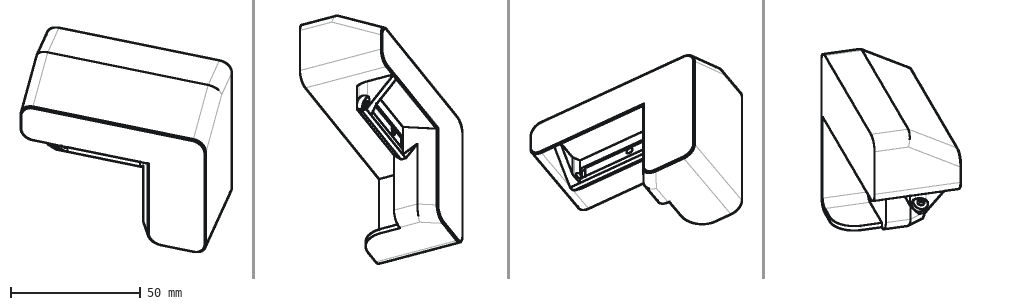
import cadquery as cq
import math

WIDTH = 75.0
DEPTH = 35.0
HEIGHT = 70.0
CORNER_R = 5.0
FRONT_CHAMFER = 0.45

BAR_BOTTOM = 41.0
SLOPE_DEPTH = 20.0
SLOPE_ANGLE = math.radians(30)
SLOPE_RISE = SLOPE_DEPTH * math.tan(SLOPE_ANGLE)

LEG_LEFT = 47.6
SLANT_DEPTH = 6.9
SLANT = math.radians(30)
LEG_FRONT_LEFT = LEG_LEFT + SLANT_DEPTH * math.tan(SLANT)
SOLID_DEPTH = 16.9
WALL = 2.0
FLOOR_LEFT = 53.1
FLOOR_CORNER_R = 9.75

BRACKET_LEFT = 11.0
BRACKET_BOTTOM = BAR_BOTTOM - 13.0
BRACKET_FACE = 11.8
BRACKET_CHAMFER = 3.0
END_CURVE_START = 11.2
END_LARGE_R = 11.7
END_SMALL_R = 3.0
END_BLEND = math.radians(20)

POCKET_LEFT = 15.6
POCKET_FACET_RIGHT = 14.4
POCKET_MOUTH_LEFT = 13.95
FACET_SLANT = math.radians(25)
POCKET_RIGHT = LEG_LEFT - (BRACKET_FACE - SLANT_DEPTH) * math.tan(SLANT)

BAND_BOTTOM = 30.5
BAND_TOP = 36.15
BAND_RECESS = 0.75
BAND_END_RECESS = 1.35
BAND_STEP = 17.1

SCREW_D = 2.7
SCREW_HEAD_D = 6.0
SCREW_X = 15.4
SCREW_Z = 32.0
SCREW_WEB = 2.55
PIN_D = 2.7
PIN_X = 37.65
PIN_Z = 34.5
SCREW_REACH = 15.0


def make_bar():
    """Bar with a sloped upper front and rounded ends."""
    bar = (
        cq.Workplane("YZ")
        .moveTo(0, BAR_BOTTOM)
        .lineTo(DEPTH, BAR_BOTTOM)
        .lineTo(DEPTH, HEIGHT)
        .lineTo(SLOPE_DEPTH, HEIGHT)
        .lineTo(0, HEIGHT - SLOPE_RISE)
        .close()
        .extrude(WIDTH)
    )
    upper_faces = bar.faces("+Z").add(bar.faces("not (|X or |Y or |Z)"))
    bar = upper_faces.edges("not |X").fillet(CORNER_R)
    return bar.edges("|Y and <Z and <X").fillet(CORNER_R)


def make_leg():
    """Solid leg with a slanted left front and rounded lower corners."""
    leg = (
        cq.Workplane("XY")
        .moveTo(LEG_FRONT_LEFT, 0)
        .lineTo(WIDTH, 0)
        .lineTo(WIDTH, DEPTH)
        .lineTo(LEG_LEFT, DEPTH)
        .lineTo(LEG_LEFT, SLANT_DEPTH)
        .close()
        .extrude(BAR_BOTTOM)
    )
    lower_sides = leg.faces("<Z").edges("not |X")
    return lower_sides.fillet(CORNER_R)


def cut_leg_hollow(body):
    """Hollow open to the left and back; the floor has a rounded rear corner."""
    length = DEPTH - SOLID_DEPTH
    hollow = (
        cq.Workplane("XY", origin=(0, SOLID_DEPTH, WALL))
        .rect(WIDTH - WALL, length, centered=False)
        .extrude(BAR_BOTTOM - WALL)
        .edges("|Y and >X and <Z")
        .fillet(CORNER_R - WALL)
    )
    below = (
        cq.Workplane("XY", origin=(0, SOLID_DEPTH, 0))
        .rect(FLOOR_LEFT + FLOOR_CORNER_R, length, centered=False)
        .extrude(WALL)
    )
    floor = (
        cq.Workplane("XY", origin=(FLOOR_LEFT, SOLID_DEPTH, 0))
        .rect(WIDTH - FLOOR_LEFT, length, centered=False)
        .extrude(WALL)
        .edges("|Z and <X and >Y")
        .fillet(FLOOR_CORNER_R)
    )
    return body.cut(hollow).cut(below.cut(floor))


def make_bracket():
    """Sloped bracket whose left end curves away towards the back."""
    section = (
        cq.Workplane("YZ")
        .moveTo(0, BAR_BOTTOM)
        .lineTo(BRACKET_FACE, BRACKET_BOTTOM)
        .lineTo(SOLID_DEPTH - BRACKET_CHAMFER, BRACKET_BOTTOM)
        .lineTo(SOLID_DEPTH, BRACKET_BOTTOM + BRACKET_CHAMFER)
        .lineTo(SOLID_DEPTH, BAR_BOTTOM)
        .close()
        .extrude(WIDTH)
    )
    large_x = BRACKET_LEFT + END_LARGE_R
    radius_step = END_LARGE_R - END_SMALL_R
    small_x = large_x - radius_step * math.cos(END_BLEND)
    small_y = END_CURVE_START + radius_step * math.sin(END_BLEND)
    end_angle = math.asin((SOLID_DEPTH - small_y) / END_SMALL_R)

    def on_large(angle):
        x = large_x - END_LARGE_R * math.cos(angle)
        return (x, END_CURVE_START + END_LARGE_R * math.sin(angle))

    def on_small(angle):
        x = small_x - END_SMALL_R * math.cos(angle)
        return (x, small_y + END_SMALL_R * math.sin(angle))

    plan = (
        cq.Workplane("XY")
        .moveTo(LEG_FRONT_LEFT, 0)
        .lineTo(BRACKET_LEFT, 0)
        .lineTo(BRACKET_LEFT, END_CURVE_START)
        .threePointArc(on_large(END_BLEND / 2), on_large(END_BLEND))
        .threePointArc(on_small((END_BLEND + end_angle) / 2), on_small(end_angle))
        .lineTo(LEG_LEFT, SOLID_DEPTH)
        .lineTo(LEG_LEFT, SLANT_DEPTH)
        .close()
        .extrude(HEIGHT)
    )
    return section.intersect(plan)


def cut_pocket(bracket):
    """Pocket with slanted sides and a narrow facet at its left mouth, open at the front and bottom."""
    facet_y = BRACKET_FACE - (POCKET_LEFT - POCKET_FACET_RIGHT) / math.tan(SLANT)
    mouth_y = facet_y - (POCKET_FACET_RIGHT - POCKET_MOUTH_LEFT) / math.tan(FACET_SLANT)
    pocket = (
        cq.Workplane("XY")
        .moveTo(POCKET_LEFT, BRACKET_FACE)
        .lineTo(POCKET_FACET_RIGHT, facet_y)
        .lineTo(POCKET_MOUTH_LEFT, mouth_y)
        .lineTo(POCKET_MOUTH_LEFT, 0)
        .lineTo(LEG_FRONT_LEFT, 0)
        .lineTo(POCKET_RIGHT, BRACKET_FACE)
        .close()
        .extrude(BAR_BOTTOM)
    )
    ramp = BAND_END_RECESS - BAND_RECESS
    band = (
        cq.Workplane("XY", origin=(0, BRACKET_FACE, BAND_BOTTOM))
        .moveTo(POCKET_LEFT, 0)
        .lineTo(POCKET_LEFT, BAND_END_RECESS)
        .lineTo(BAND_STEP, BAND_END_RECESS)
        .lineTo(BAND_STEP + ramp, BAND_RECESS)
        .lineTo(POCKET_RIGHT, BAND_RECESS)
        .lineTo(POCKET_RIGHT, 0)
        .close()
        .extrude(BAND_TOP - BAND_BOTTOM)
    )
    return bracket.cut(pocket).cut(band)


def cut_holes(bracket):
    """Counterbored hole square to the slanted left wall, and a plain hole through the back wall."""
    wall_y = BRACKET_FACE - (POCKET_LEFT - SCREW_X) / math.tan(SLANT)
    outward = cq.Vector(-math.cos(SLANT), math.sin(SLANT), 0)
    wall_point = cq.Vector(SCREW_X, wall_y, SCREW_Z)
    inner_end = wall_point - outward * SCREW_D / 2
    seat = wall_point + outward * SCREW_WEB
    shank = cq.Solid.makeCylinder(SCREW_D / 2, SCREW_REACH, inner_end, outward)
    head = cq.Solid.makeCylinder(SCREW_HEAD_D / 2, SCREW_REACH, seat, outward)
    pin = cq.Solid.makeCylinder(PIN_D / 2, DEPTH, cq.Vector(PIN_X, 0, PIN_Z), cq.Vector(0, 1, 0))
    return bracket.cut(cq.Workplane(shank)).cut(cq.Workplane(head)).cut(cq.Workplane(pin))


body = make_bar().union(make_leg()).clean()
body = body.faces("<Y").chamfer(FRONT_CHAMFER)
body = cut_leg_hollow(body)
bracket = cut_holes(cut_pocket(make_bracket()))
result = body.union(bracket)